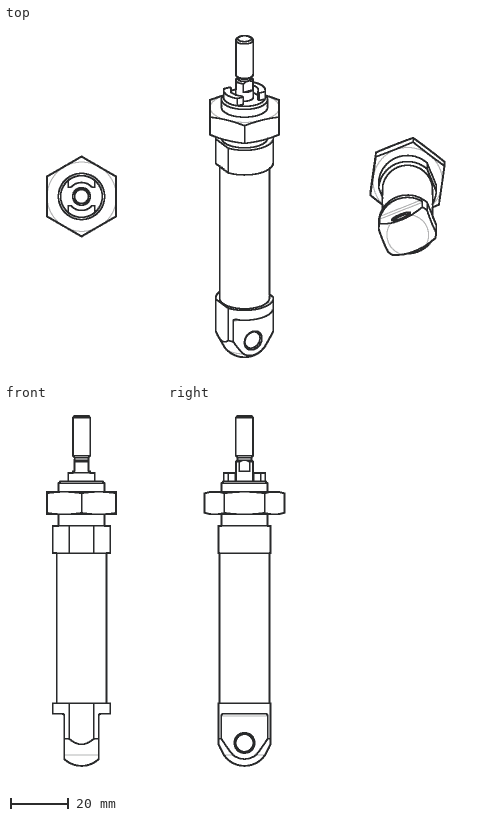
import cadquery as cq
import math

rod_top = 121.0
thread_bottom = 107.2
neck_top = 106.6
neck_bottom = 105.8
shank_top = 105.1
flat_bottom = 101.9
lug_top = 101.3
collar_top = 98.5
nut_top = 94.7
nut_bottom = 87.0
head_top = 83.0
head_bottom = 73.6
rear_cap_top = 21.8
tongue_top = 18.0
pivot_height = 8.0
dome_height = 3.9

rod_diameter = 6.0
tip_chamfer = 0.6
neck_diameter = 4.8
rod_across_flats = 4.8

tube_diameter = 17.3
collar_diameter = 16.0
lug_outer_diameter = 14.4
lug_inner_diameter = 9.7
lug_width = 9.2
lug_gap = 6.3
cap_diameter = 20.0
cap_across_flats = 18.0
dome_diameter = 14.4
cone_slope = 0.5
tongue_thickness = 12.0
tongue_fillet = 0.7
pivot_diameter = 6.0
pivot_chamfer = 0.5

nut_across_flats = 24.0
nut_chamfer_angle = 15.0


def disc(diameter, bottom, top):
    """Cylinder on the Z axis between two heights."""
    return cq.Workplane("XY").workplane(offset=bottom).circle(diameter / 2).extrude(top - bottom)


def block(x_size, y_size, bottom, top):
    """Box centred on the Z axis between two heights."""
    return cq.Workplane("XY").workplane(offset=bottom).rect(x_size, y_size).extrude(top - bottom)


def revolve_about_z(profile):
    """Full turn of an XZ outline about the Z axis."""
    return profile.close().revolve(360, (0, 0, 0), (0, 1, 0))


def make_rod():
    radius = rod_diameter / 2
    neck_radius = neck_diameter / 2
    rod = revolve_about_z(
        cq.Workplane("XZ")
        .moveTo(0, head_top)
        .lineTo(radius, head_top)
        .lineTo(radius, shank_top)
        .lineTo(neck_radius, neck_bottom)
        .lineTo(neck_radius, neck_top)
        .lineTo(radius, thread_bottom)
        .lineTo(radius, rod_top - tip_chamfer)
        .lineTo(radius - tip_chamfer, rod_top)
        .lineTo(0, rod_top)
    )
    flat_zone = disc(rod_diameter * 2, flat_bottom, neck_bottom)
    flat_zone = flat_zone.cut(block(rod_across_flats, rod_diameter * 2, flat_bottom, neck_bottom))
    return rod.cut(flat_zone)


def make_lugs():
    """Two arc-shaped lugs on the +Y and -Y sides of the collar's end face."""
    ring = disc(lug_outer_diameter, collar_top, lug_top)
    ring = ring.cut(disc(lug_inner_diameter, collar_top, lug_top))
    ring = ring.cut(block(lug_outer_diameter, lug_gap, collar_top, lug_top))
    return ring.intersect(block(lug_width, lug_outer_diameter, collar_top, lug_top))


def make_front_head():
    """Flatted head, round collar that carries the nut, and the lugs."""
    head = disc(cap_diameter, head_bottom, head_top)
    head = head.intersect(block(cap_diameter, cap_across_flats, head_bottom, head_top))
    end_chamfer = (collar_diameter - lug_outer_diameter) / 2
    collar = disc(collar_diameter, head_top, collar_top).faces(">Z").chamfer(end_chamfer)
    return head.union(collar).union(make_lugs())


def make_rear_cap():
    """Flatted cap narrowing to a domed tongue with a cross hole."""
    cap_radius = cap_diameter / 2
    dome_radius = dome_diameter / 2
    cone_top = dome_height + (cap_radius - dome_radius) / cone_slope
    sphere_radius = (dome_radius**2 + dome_height**2) / (2 * dome_height)
    middle_radius = dome_radius / 2
    middle_height = sphere_radius - math.sqrt(sphere_radius**2 - middle_radius**2)
    cap = revolve_about_z(
        cq.Workplane("XZ")
        .threePointArc((middle_radius, middle_height), (dome_radius, dome_height))
        .lineTo(cap_radius, cone_top)
        .lineTo(cap_radius, rear_cap_top)
        .lineTo(0, rear_cap_top)
    )
    cap = cap.intersect(block(cap_diameter, cap_across_flats, 0, rear_cap_top))

    side_depth = (cap_diameter - tongue_thickness) / 2
    for side in (-1, 1):
        relief = block(side_depth, cap_diameter, 0, tongue_top)
        relief = relief.translate((side * (tongue_thickness + side_depth) / 2, 0, 0))
        inner_edge = ">X" if side < 0 else "<X"
        relief = relief.faces(">Z").edges(inner_edge).fillet(tongue_fillet)
        cap = cap.cut(relief)

    pivot_radius = pivot_diameter / 2
    mouth_radius = pivot_radius + pivot_chamfer
    half_tongue = tongue_thickness / 2
    pivot = (
        cq.Workplane("XY")
        .moveTo(-half_tongue, 0)
        .lineTo(-half_tongue, mouth_radius)
        .lineTo(-half_tongue + pivot_chamfer, pivot_radius)
        .lineTo(half_tongue - pivot_chamfer, pivot_radius)
        .lineTo(half_tongue, mouth_radius)
        .lineTo(half_tongue, 0)
        .close()
        .revolve(360, (0, 0, 0), (1, 0, 0))
        .translate((0, 0, pivot_height))
    )
    return cap.cut(pivot)


def make_cylinder(rod):
    """Tube with both end caps, bored to seat the rod."""
    tube = disc(tube_diameter, rear_cap_top, head_bottom)
    return tube.union(make_front_head()).union(make_rear_cap()).cut(rod)


def make_nut():
    """Hexagon with its corners bevelled at both ends, bored to fit the collar."""
    corner_radius = nut_across_flats / math.sqrt(3)
    flat_radius = nut_across_flats / 2
    bevel_drop = (corner_radius - flat_radius) * math.tan(math.radians(nut_chamfer_angle))
    hexagon = (
        cq.Workplane("XY")
        .workplane(offset=nut_bottom)
        .polygon(6, 2 * corner_radius)
        .extrude(nut_top - nut_bottom)
        .rotate((0, 0, 0), (0, 0, 1), 90)
    )
    bevel_envelope = revolve_about_z(
        cq.Workplane("XZ")
        .moveTo(0, nut_bottom)
        .lineTo(flat_radius, nut_bottom)
        .lineTo(corner_radius, nut_bottom + bevel_drop)
        .lineTo(corner_radius, nut_top - bevel_drop)
        .lineTo(flat_radius, nut_top)
        .lineTo(0, nut_top)
    )
    return hexagon.intersect(bevel_envelope).cut(disc(collar_diameter, nut_bottom, nut_top))


rod = make_rod()
cylinder = make_cylinder(rod)
nut = make_nut()

result = cq.Compound.makeCompound([rod.val(), cylinder.val(), nut.val()])